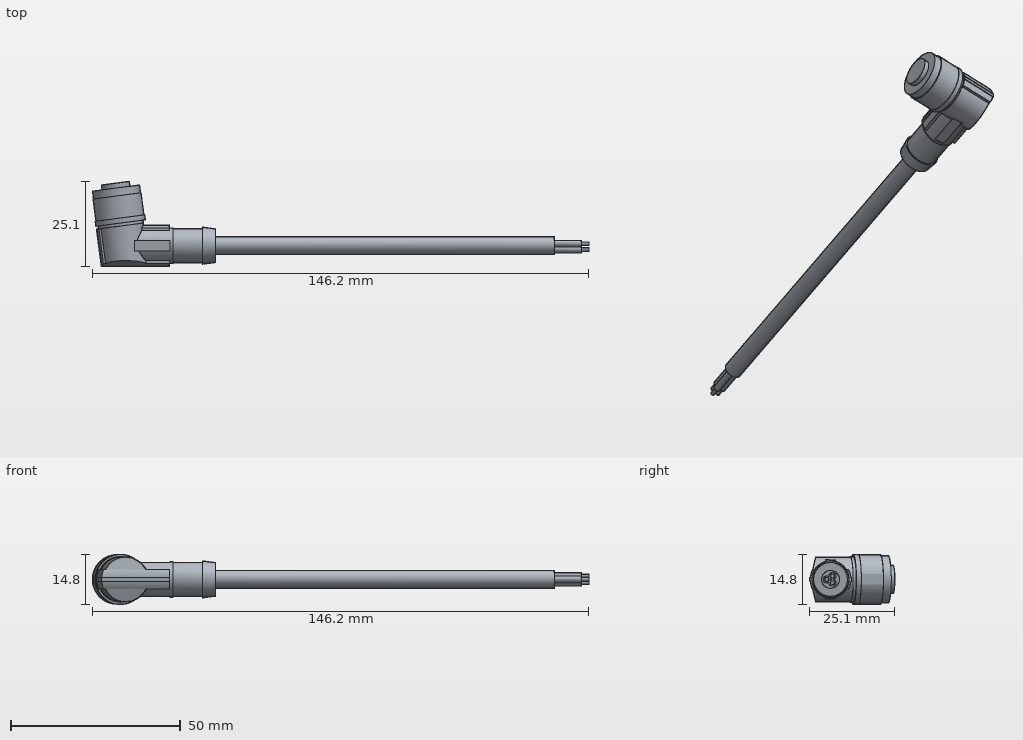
import cadquery as cq
import math

head_tilt = 7.5
tip_x = 137.0

body_radius = 6.6
collar_radius = 6.7
collar_start = 5.8
nut_start = 6.7
nut_ring_radius = 14.8 / 2
nut_radius = 7.3
nut_grip_start = 8.2
nut_front_start = 14.8
nut_front_radius = 7.0
nut_front = 17.1
insert_radius = 8.3 / 2
insert_front = 18.6
nut_flat_width = 3.0
nut_flat_offset = math.sqrt(nut_radius**2 - (nut_flat_width / 2) ** 2)

rib_half_width = 5.7 / 2
crest_half_width = 0.63
crest_height = 0.1
rib_radius = 6.0
rib_shoulder = math.sqrt(rib_radius**2 - rib_half_width**2)
back_rib_radius = 7.2
roof_eave = 4.4
rib_end_x = 13.5

shell_radius = 5.3
shell_end_x = 14.5
sleeve_radius = 10.1 / 2
end_ring_x = 23.3
end_ring_radius = 11.0 / 2
sleeve_end_x = 27.0
end_ring_small_radius = 5.0
cable_radius = 2.6
cable_end_x = 126.8

pad_width = 3.0
pad_height = math.sqrt(shell_radius**2 - (pad_width / 2) ** 2)
pad_start_x = 3.2
pad_end_x = 13.6

wire_diameter = 2.0
wire_overlap = 0.07
wire_end_x = 134.7
strand_diameter = 1.2


def x_cylinder(radius, start, end, y=0, z=0):
    return cq.Workplane("YZ", origin=(start, y, z)).circle(radius).extrude(end - start)


def y_cylinder(radius, start, end):
    return cq.Workplane("XZ", origin=(0, start, 0)).circle(radius).extrude(start - end)


def tilt(shape):
    return shape.rotate((0, 0, 0), (0, 0, 1), head_tilt)


def rib_outline(plane, radius, side):
    """Rib section from the axis outward along the plane's local X; side is +1 or -1."""
    shoulder = side * math.sqrt(radius**2 - rib_half_width**2)
    crest_foot = side * math.sqrt(radius**2 - crest_half_width**2)
    crest_radius = radius + crest_height
    crest_edge = side * math.sqrt(crest_radius**2 - crest_half_width**2)
    flank_angle = (math.asin(rib_half_width / radius) + math.asin(crest_half_width / radius)) / 2
    flank_middle = side * radius * math.cos(flank_angle)
    flank_height = radius * math.sin(flank_angle)
    return (
        plane.moveTo(0, -rib_half_width)
        .lineTo(shoulder, -rib_half_width)
        .threePointArc((flank_middle, -flank_height), (crest_foot, -crest_half_width))
        .lineTo(crest_edge, -crest_half_width)
        .threePointArc((side * crest_radius, 0), (crest_edge, crest_half_width))
        .lineTo(crest_foot, crest_half_width)
        .threePointArc((flank_middle, flank_height), (shoulder, rib_half_width))
        .lineTo(0, rib_half_width)
        .close()
    )


def make_head_body():
    """Round body with a back rib, cut at its -Y end to a roof shape, with the -Y rib along its ridge."""
    overrun = 2 * body_radius
    body = y_cylinder(body_radius, -overrun, collar_start)
    back_plane = cq.Workplane("XZ", origin=(0, -overrun, 0))
    body = body.union(rib_outline(back_plane, back_rib_radius, -1).extrude(-overrun - collar_start))
    roof = (
        cq.Workplane("YZ", origin=(-overrun, 0, 0))
        .polyline([
            (overrun, -body_radius),
            (-roof_eave, -body_radius),
            (-rib_shoulder, -rib_half_width),
            (-rib_shoulder, rib_half_width),
            (-roof_eave, body_radius),
            (overrun, body_radius),
        ])
        .close()
        .extrude(2 * overrun)
    )
    body = tilt(body)
    rib_plane = cq.Workplane("YZ", origin=(-overrun, 0, 0))
    lower_rib = rib_outline(rib_plane, rib_radius, -1).extrude(overrun + rib_end_x)
    shell_side = cq.Workplane("XY").box(2 * overrun, 2 * overrun, 2 * overrun).translate((overrun, 0, 0))
    lower_rib = lower_rib.intersect(body.union(shell_side))
    return body.intersect(roof).union(lower_rib)


def make_nut():
    """Collar, coupling nut with two side flats, and the contact insert in front of it."""
    nut = y_cylinder(nut_radius, nut_grip_start, nut_front_start)
    grip_length = nut_front_start - nut_grip_start
    for side in (-1, 1):
        cutter = cq.Workplane("XY").box(nut_radius, grip_length, nut_flat_width).translate((
            side * (nut_flat_offset + nut_radius / 2),
            nut_grip_start + grip_length / 2,
            0,
        ))
        nut = nut.cut(cutter)
    nut = nut.union(y_cylinder(collar_radius, collar_start, nut_start))
    nut = nut.union(y_cylinder(nut_ring_radius, nut_start, nut_grip_start))
    nut = nut.union(y_cylinder(nut_front_radius, nut_front_start, nut_front))
    nut = nut.union(y_cylinder(insert_radius, nut_front, insert_front))
    return tilt(nut)


def make_shell():
    """Sleeve shell with a rib on its +Y side."""
    rib = rib_outline(cq.Workplane("YZ"), rib_radius, 1).extrude(rib_end_x)
    return x_cylinder(shell_radius, 0, shell_end_x).union(rib)


def make_sleeve():
    end_ring = (
        cq.Workplane("YZ", origin=(end_ring_x, 0, 0))
        .circle(end_ring_radius)
        .workplane(offset=sleeve_end_x - end_ring_x)
        .circle(end_ring_small_radius)
        .loft()
    )
    return x_cylinder(sleeve_radius, shell_end_x, end_ring_x).union(end_ring)


def make_cable():
    """Cable with three wires in a triangle, one toward -Y."""
    cable = x_cylinder(cable_radius, sleeve_end_x, cable_end_x)
    circle_radius = (wire_diameter - wire_overlap) / math.sqrt(3)
    for angle in (60, 180, 300):
        y = circle_radius * math.cos(math.radians(angle))
        z = circle_radius * math.sin(math.radians(angle))
        cable = cable.union(x_cylinder(wire_diameter / 2, cable_end_x, wire_end_x, y, z))
        cable = cable.union(x_cylinder(strand_diameter / 2, wire_end_x, tip_x, y, z))
    return cable


def cut_pads(shape):
    """Flats on the top and bottom of the shell, running a little into the head."""
    length = pad_end_x - pad_start_x
    for side in (-1, 1):
        cutter = cq.Workplane("XY").box(length, pad_width, body_radius).translate((
            pad_start_x + length / 2,
            0,
            side * (pad_height + body_radius / 2),
        ))
        shape = shape.cut(cutter)
    return shape


result = cut_pads(make_head_body().union(make_shell()))
result = result.union(make_nut()).union(make_sleeve()).union(make_cable())